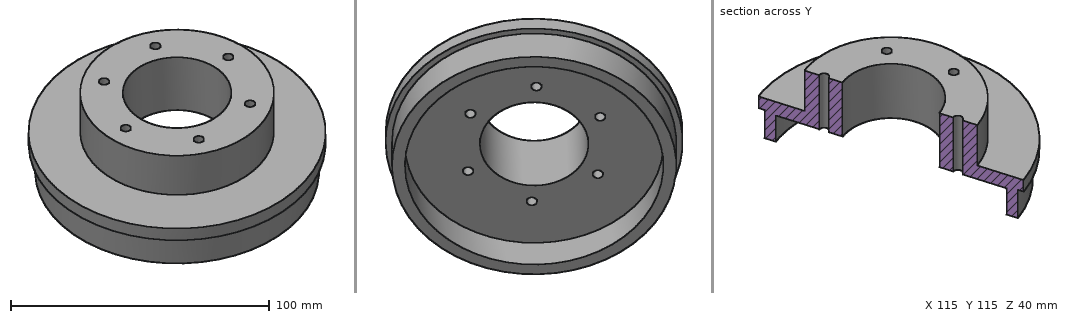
import cadquery as cq

hub_diameter = 75.0
hub_height = 20.0
flange_diameter = 115.0
flange_thickness = 6.0
rim_diameter = 110.0
rim_height = 14.0

bore_diameter = 42.0
recess_diameter = 100.0
recess_depth = 13.0

bolt_hole_count = 6
bolt_hole_diameter = 4.0
bolt_circle_diameter = 58.0

flange_bottom = rim_height
hub_bottom = flange_bottom + flange_thickness
total_height = hub_bottom + hub_height


def disc(diameter, height, bottom):
    """Solid cylinder on the Z axis, standing on the given level."""
    return cq.Workplane("XY").workplane(offset=bottom).circle(diameter / 2).extrude(height)


def stepped_body():
    rim = disc(rim_diameter, rim_height, 0)
    flange = disc(flange_diameter, flange_thickness, flange_bottom)
    hub = disc(hub_diameter, hub_height, hub_bottom)
    return rim.union(flange).union(hub)


def bolt_holes():
    """Ring of through holes, the first one on the +X axis."""
    return (
        cq.Workplane("XY")
        .polarArray(bolt_circle_diameter / 2, 0, 360, bolt_hole_count)
        .circle(bolt_hole_diameter / 2)
        .extrude(total_height)
    )


bore = disc(bore_diameter, total_height, 0)
recess = disc(recess_diameter, recess_depth, 0)

result = stepped_body().cut(bore).cut(recess).cut(bolt_holes())